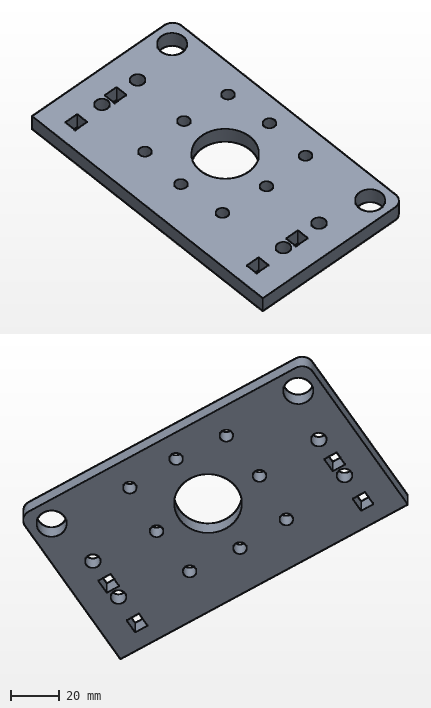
import cadquery as cq

length = 140.0
width = 80.0
thickness = 8.0
corner_radius = 5.0

bore_diameter = 28.0
bore_y = 4.0
bolt_diameter = 5.6
axis_bolt_distance = 25.0
diagonal_bolt_offset = 23.5

corner_hole_diameter = 12.5
corner_hole_inset = 10.0

column_inset = 15.0
side_hole_diameter = 6.5
side_hole_heights = (45.8, 25.6)
window_length = 6.0
window_width = 6.7
window_heights = (33.3, 11.0)

column_x = length / 2 - column_inset
front_y = -width / 2


def through_holes(points, diameter):
    """Cylinders that cut through the plate at the given points."""
    return cq.Workplane("XY").pushPoints(points).circle(diameter / 2).extrude(thickness)


def column_points(heights):
    """Points in both side columns at heights above the front edge."""
    return [(side * column_x, front_y + height) for side in (-1, 1) for height in heights]


plate = (
    cq.Workplane("XY")
    .box(length, width, thickness, centered=(True, True, False))
    .edges("|Z and >Y")
    .fillet(corner_radius)
)

bore = through_holes([(0, bore_y)], bore_diameter)

bolt_points = []
for column in (-1, 0, 1):
    for row in (-1, 0, 1):
        if column == 0 and row == 0:
            continue
        on_diagonal = column != 0 and row != 0
        offset = diagonal_bolt_offset if on_diagonal else axis_bolt_distance
        bolt_points.append((column * offset, bore_y + row * offset))
bolt_holes = through_holes(bolt_points, bolt_diameter)

corner_hole_x = length / 2 - corner_hole_inset
corner_hole_y = width / 2 - corner_hole_inset
corner_holes = through_holes(
    [(-corner_hole_x, corner_hole_y), (corner_hole_x, corner_hole_y)],
    corner_hole_diameter,
)

side_holes = through_holes(column_points(side_hole_heights), side_hole_diameter)

windows = (
    cq.Workplane("XY")
    .pushPoints(column_points(window_heights))
    .rect(window_length, window_width)
    .extrude(thickness)
)

result = plate.cut(bore).cut(bolt_holes).cut(corner_holes).cut(side_holes).cut(windows)